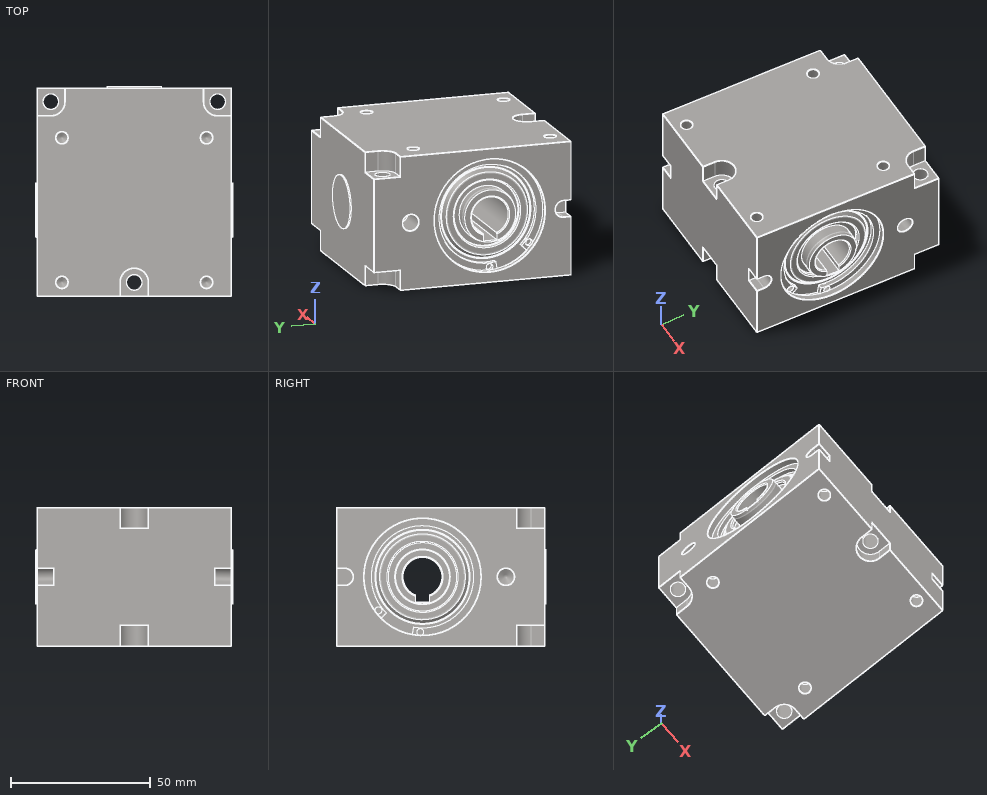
import cadquery as cq
import math


WIDTH = 70.0
HEIGHT = 50.0
FRONT_Y = -31.0
BACK_Y = 44.0
LENGTH = BACK_Y - FRONT_Y
EDGE_CHAMFER = 0.2
HALF_WIDTH = WIDTH / 2
HALF_HEIGHT = HEIGHT / 2

STUB_RADIUS = 9.8
STUB_PROTRUSION = 0.5

HUB_RADIUS = 10.0
HUB_END_RADIUS = 9.7
HUB_TAPER_LENGTH = 1.3
BORE_RADIUS = 7.0
BORE_CHAMFER = 0.4
KEYWAY_WIDTH = 5.0
KEYWAY_BOTTOM = 9.1

RECESS_RADIUS = 21.0
RING_GROOVE_RADIUS = 22.0
RING_TOP_DEPTH = 2.5
RING_THICKNESS = 1.75
RECESS_DEPTH = RING_TOP_DEPTH + RING_THICKNESS
SEAL_SEAT_RADIUS = 17.1
SEAL_OUTER_RADIUS = 16.75
SEAL_SHOULDER_RADIUS = 15.45
SEAL_FACE_OUTER_RADIUS = 15.1
SEAL_FACE_INNER_RADIUS = 12.8
SEAL_LIP_RADIUS = 12.3
SEAL_SHOULDER_DEPTH = 3.2
SEAL_FACE_DEPTH = 3.1
SEAL_EDGE_DEPTH = 4.6
SEAL_LIP_DEPTH = SEAL_FACE_DEPTH + SEAL_FACE_INNER_RADIUS - SEAL_LIP_RADIUS
SEAL_FLOOR_DEPTH = 4.7

RING_INNER_RADIUS = 18.4
RING_GAP_ANGLE = 35.0
RING_GAP_CENTRE = 27.5
PLIER_HOLE_DIAMETER = 2.5
PLIER_HOLE_PITCH_RADIUS = 19.9
PLIER_HOLE_OFFSET = 25.2

SIDE_HOLE_RADIUS = 3.0
SIDE_HOLE_Y = 30.0
SIDE_SLOT_Y = -28.0
SIDE_HOLE_DEPTH = 12.0
SIDE_SLOT_DEPTH = 6.0

MOUNT_HOLE_DIAMETER = 5.5
MOUNT_EDGE_DISTANCE = 5.0
MOUNT_POCKET_RADIUS = 5.0
MOUNT_POCKET_DEPTH = 7.5
MOUNT_X = HALF_WIDTH - MOUNT_EDGE_DISTANCE
MOUNT_BACK_Y = BACK_Y - MOUNT_EDGE_DISTANCE
MOUNT_FRONT_Y = FRONT_Y + MOUNT_EDGE_DISTANCE

TAP_HOLE_PITCH = 52.0
TAP_HOLE_RADIUS = 2.1
TAP_HOLE_DEPTH = 10.0

DRILL_POINT_RATIO = 0.6


def revolved(profile):
    """Solid of revolution about X from (x, radius) points."""
    return cq.Workplane("XY").polyline(profile).close().revolve(360, (0, 0, 0), (1, 0, 0))


def both_sides(solid):
    """The solid together with its mirror image in the YZ plane."""
    return solid.union(solid.mirror("YZ"))


def top_and_bottom(solid):
    """The solid together with its mirror image in the XY plane."""
    return solid.union(solid.mirror("XY"))


def housing_block():
    """Plain rectangular block."""
    return cq.Workplane("XY").box(WIDTH, LENGTH, HEIGHT).translate((0, (FRONT_Y + BACK_Y) / 2, 0))


def seal_recess():
    """Ring-shaped void that exposes the seal and shapes the tapered hub end on the -X side."""
    profile = [
        (-STUB_PROTRUSION, HUB_END_RADIUS),
        (-STUB_PROTRUSION, RECESS_RADIUS + EDGE_CHAMFER),
        (0, RECESS_RADIUS + EDGE_CHAMFER),
        (EDGE_CHAMFER, RECESS_RADIUS),
        (RING_TOP_DEPTH, RECESS_RADIUS),
        (RING_TOP_DEPTH, RING_GROOVE_RADIUS),
        (RECESS_DEPTH, RING_GROOVE_RADIUS),
        (RECESS_DEPTH, SEAL_SEAT_RADIUS),
        (SEAL_EDGE_DEPTH, SEAL_SEAT_RADIUS),
        (SEAL_EDGE_DEPTH, SEAL_OUTER_RADIUS),
        (SEAL_SHOULDER_DEPTH, SEAL_SHOULDER_RADIUS),
        (SEAL_FACE_DEPTH, SEAL_FACE_OUTER_RADIUS),
        (SEAL_FACE_DEPTH, SEAL_FACE_INNER_RADIUS),
        (SEAL_LIP_DEPTH, SEAL_LIP_RADIUS),
        (SEAL_FLOOR_DEPTH, SEAL_LIP_RADIUS),
        (SEAL_FLOOR_DEPTH, HUB_RADIUS),
        (HUB_TAPER_LENGTH - STUB_PROTRUSION, HUB_RADIUS),
    ]
    return revolved(profile).translate((-HALF_WIDTH, 0, 0))


def retaining_ring():
    """Open ring seated in the recess groove, with two plier holes beside its gap."""
    outer_x = -HALF_WIDTH + RING_TOP_DEPTH
    inner_x = -HALF_WIDTH + RECESS_DEPTH
    ring = revolved([
        (outer_x, RING_INNER_RADIUS),
        (outer_x, RING_GROOVE_RADIUS),
        (inner_x, RING_GROOVE_RADIUS),
        (inner_x, RING_INNER_RADIUS),
    ])
    ring_plane = cq.Workplane("YZ", origin=(outer_x, 0, 0))
    gap_half_width = HALF_HEIGHT * math.tan(math.radians(RING_GAP_ANGLE / 2))
    gap = (
        ring_plane
        .polyline([(0, 0), (-gap_half_width, -HALF_HEIGHT), (gap_half_width, -HALF_HEIGHT)])
        .close()
        .extrude(RING_THICKNESS)
    )
    hole_y = PLIER_HOLE_PITCH_RADIUS * math.sin(math.radians(PLIER_HOLE_OFFSET))
    hole_z = -PLIER_HOLE_PITCH_RADIUS * math.cos(math.radians(PLIER_HOLE_OFFSET))
    holes = (
        ring_plane
        .pushPoints([(-hole_y, hole_z), (hole_y, hole_z)])
        .circle(PLIER_HOLE_DIAMETER / 2)
        .extrude(RING_THICKNESS)
    )
    open_ring = ring.cut(gap).cut(holes)
    return open_ring.rotate((0, 0, 0), (1, 0, 0), -RING_GAP_CENTRE)


def hub():
    """Plain hub through the housing, standing proud of both side faces."""
    hub_length = WIDTH + 2 * STUB_PROTRUSION
    return cq.Workplane("YZ").circle(HUB_RADIUS).extrude(hub_length / 2, both=True)


def back_stub():
    """End of the input shaft standing proud of the back face."""
    return cq.Workplane("XZ", origin=(0, BACK_Y, 0)).circle(STUB_RADIUS).extrude(-STUB_PROTRUSION)


def hub_bore():
    """Through bore with chamfered ends and a keyway towards -Z."""
    end_x = HALF_WIDTH + STUB_PROTRUSION
    mouth_radius = BORE_RADIUS + BORE_CHAMFER
    bore = revolved([
        (-end_x, 0),
        (-end_x, mouth_radius),
        (-end_x + BORE_CHAMFER, BORE_RADIUS),
        (end_x - BORE_CHAMFER, BORE_RADIUS),
        (end_x, mouth_radius),
        (end_x, 0),
    ])
    keyway = cq.Workplane("XY").box(2 * end_x, KEYWAY_WIDTH, KEYWAY_BOTTOM, centered=(True, True, False))
    return bore.union(keyway.translate((0, 0, -KEYWAY_BOTTOM)))


def side_hole():
    """Chamfered blind hole in the -X side face."""
    face_x = -HALF_WIDTH
    bottom_x = face_x + SIDE_HOLE_DEPTH
    hole = revolved([
        (face_x, 0),
        (face_x, SIDE_HOLE_RADIUS + EDGE_CHAMFER),
        (face_x + EDGE_CHAMFER, SIDE_HOLE_RADIUS),
        (bottom_x, SIDE_HOLE_RADIUS),
        (bottom_x + DRILL_POINT_RATIO * SIDE_HOLE_RADIUS, 0),
    ])
    return hole.translate((0, SIDE_HOLE_Y, 0))


def side_slot():
    """Round-ended slot in the -X side face, open to the front."""
    start = cq.Workplane("YZ", origin=(-HALF_WIDTH, 0, 0))
    round_end = start.center(SIDE_SLOT_Y, 0).circle(SIDE_HOLE_RADIUS).extrude(SIDE_SLOT_DEPTH)
    opening = (
        start
        .center((FRONT_Y + SIDE_SLOT_Y) / 2, 0)
        .rect(SIDE_SLOT_Y - FRONT_Y, 2 * SIDE_HOLE_RADIUS)
        .extrude(SIDE_SLOT_DEPTH)
    )
    return round_end.union(opening)


def corner_pocket():
    """Counterbore squared off towards the -X side and the back."""
    size = MOUNT_EDGE_DISTANCE + MOUNT_POCKET_RADIUS
    return (
        cq.Workplane("XY")
        .box(size, size, MOUNT_POCKET_DEPTH, centered=False)
        .translate((-HALF_WIDTH, BACK_Y - size, HALF_HEIGHT - MOUNT_POCKET_DEPTH))
        .edges("|Z and >X and <Y")
        .fillet(MOUNT_POCKET_RADIUS)
    )


def front_pocket():
    """Counterbore at mid-width, squared off towards the front."""
    floor_z = HALF_HEIGHT - MOUNT_POCKET_DEPTH
    round_seat = (
        cq.Workplane("XY", origin=(0, MOUNT_FRONT_Y, floor_z))
        .circle(MOUNT_POCKET_RADIUS)
        .extrude(MOUNT_POCKET_DEPTH)
    )
    opening = (
        cq.Workplane("XY")
        .box(2 * MOUNT_POCKET_RADIUS, MOUNT_EDGE_DISTANCE, MOUNT_POCKET_DEPTH, centered=(True, False, False))
        .translate((0, FRONT_Y, floor_z))
    )
    return round_seat.union(opening)


def mount_holes():
    """Three holes through the full height: two at the back corners and one at the front."""
    return (
        cq.Workplane("XY", origin=(0, 0, -HALF_HEIGHT))
        .pushPoints([(-MOUNT_X, MOUNT_BACK_Y), (MOUNT_X, MOUNT_BACK_Y), (0, MOUNT_FRONT_Y)])
        .circle(MOUNT_HOLE_DIAMETER / 2)
        .extrude(HEIGHT)
    )


def tap_holes():
    """Four chamfered blind holes in the top face."""
    bottom_z = HALF_HEIGHT - TAP_HOLE_DEPTH
    hole = (
        cq.Workplane("XZ")
        .polyline([
            (0, HALF_HEIGHT),
            (TAP_HOLE_RADIUS + EDGE_CHAMFER, HALF_HEIGHT),
            (TAP_HOLE_RADIUS, HALF_HEIGHT - EDGE_CHAMFER),
            (TAP_HOLE_RADIUS, bottom_z),
            (0, bottom_z - DRILL_POINT_RATIO * TAP_HOLE_RADIUS),
        ])
        .close()
        .revolve(360, (0, 0, 0), (0, 1, 0))
    )
    offset = TAP_HOLE_PITCH / 2
    corner = hole.translate((offset, offset, 0))
    right_pair = corner.union(corner.mirror("XZ"))
    return both_sides(right_pair)


def chamfered_housing():
    """Housing block with its side slots and mounting pockets, outer edges chamfered."""
    sharp = (
        housing_block()
        .cut(both_sides(side_slot()))
        .cut(top_and_bottom(both_sides(corner_pocket())))
        .cut(top_and_bottom(front_pocket()))
    )
    return sharp.faces("<X or >X or <Y or >Y or <Z or >Z").edges().chamfer(EDGE_CHAMFER)


result = (
    chamfered_housing()
    .union(hub())
    .cut(both_sides(seal_recess()))
    .union(both_sides(retaining_ring()))
    .union(back_stub())
    .cut(hub_bore())
    .cut(both_sides(side_hole()))
    .cut(mount_holes())
    .cut(top_and_bottom(tap_holes()))
)